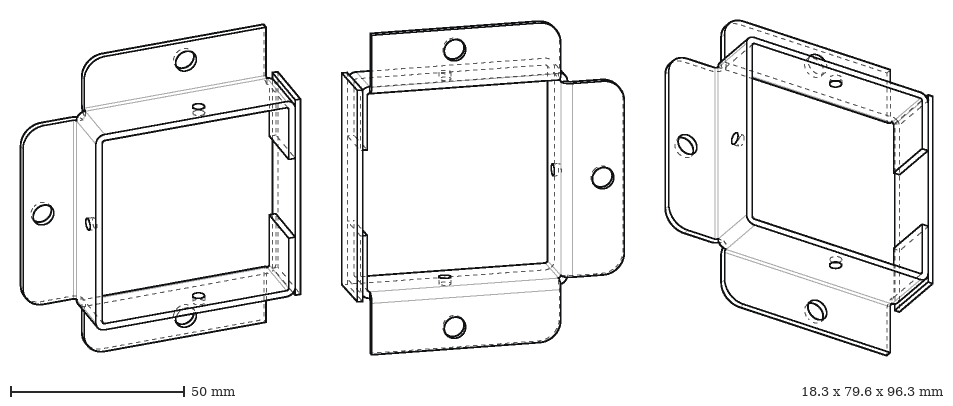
import cadquery as cq
import math

depth = 18.3
frame_height = 63.7
frame_width = 61.7
sheet = 2.0
bend_inner = 0.7
plate_thickness = 1.6
flange_reach = 16.3
flange_corner = 6.4
flange_hole_diameter = 6.4
flange_hole_inset = 6.4
wall_hole_diameter = 3.5
wall_hole_x = 11.9
hole_y = 3.4
tab_gap = 25.7

bend_outer = bend_inner + sheet
half_height = frame_height / 2
half_width = frame_width / 2
flat_height = frame_height - 2 * bend_outer
flat_width = frame_width - 2 * bend_outer


def make_ring():
    """Rectangular ring with rounded corners, split into two tabs at its back (+Y)."""
    ring_depth = depth - bend_outer
    plane = cq.Workplane("YZ", origin=(bend_outer, 0, 0))
    outer = plane.rect(frame_width, frame_height).extrude(ring_depth).edges("|X").fillet(bend_outer)
    inner = (
        plane.rect(frame_width - 2 * sheet, frame_height - 2 * sheet)
        .extrude(ring_depth)
        .edges("|X")
        .fillet(bend_inner)
    )
    gap = plane.center(half_width - sheet / 2, 0).rect(sheet, tab_gap).extrude(ring_depth)
    return outer.cut(inner).cut(gap)


def make_flange(wall_offset, length, rounded_sides, hole_position):
    """Bend and outward flange on a +Z wall whose outer face is at wall_offset, running along Y."""
    inner_face = wall_offset - sheet
    bend_end = inner_face + bend_outer
    tip = wall_offset + flange_reach
    diagonal = math.cos(math.pi / 4)
    outer_mid = (bend_outer * (1 - diagonal), bend_end - bend_outer * diagonal)
    inner_mid = (bend_outer - bend_inner * diagonal, bend_end - bend_inner * diagonal)
    flange = (
        cq.Workplane("XZ", origin=(0, length / 2, 0))
        .moveTo(bend_outer, inner_face)
        .threePointArc(outer_mid, (0, bend_end))
        .lineTo(0, tip)
        .lineTo(sheet, tip)
        .lineTo(sheet, bend_end)
        .threePointArc(inner_mid, (bend_outer, wall_offset))
        .close()
        .extrude(length)
    )
    for side in rounded_sides:
        flange = flange.faces(">Z").edges(side).fillet(flange_corner)
    hole = (
        cq.Workplane("YZ")
        .center(hole_position, tip - flange_hole_inset)
        .circle(flange_hole_diameter / 2)
        .extrude(sheet)
    )
    return flange.cut(hole)


def make_wall_holes():
    """Cutters for the small holes in the top, bottom and front (-Y) walls."""
    radius = wall_hole_diameter / 2
    vertical = (
        cq.Workplane("XY", origin=(wall_hole_x, hole_y, -half_height))
        .circle(radius)
        .extrude(frame_height)
    )
    front = (
        cq.Workplane("XZ", origin=(wall_hole_x, -half_width + sheet, 0))
        .circle(radius)
        .extrude(sheet)
    )
    return vertical, front


def make_frame():
    """Ring with flanges on its top, bottom and front walls."""
    top_flange = make_flange(half_height, flat_width, ["<Y"], hole_y)
    bottom_flange = top_flange.mirror("XY")
    front_flange = make_flange(half_width, flat_height, ["<Y", ">Y"], 0).rotate((0, 0, 0), (1, 0, 0), 90)
    frame = make_ring().union(top_flange).union(bottom_flange).union(front_flange)
    for hole in make_wall_holes():
        frame = frame.cut(hole)
    return frame


def make_back_plate():
    """Flat plate lying against the outer faces of the two back tabs."""
    return cq.Workplane("XY").box(depth, plate_thickness, frame_height).translate(
        (depth / 2, half_width + plate_thickness / 2, 0)
    )


frame = make_frame()
back_plate = make_back_plate()
result = cq.Compound.makeCompound([frame.solids().val(), back_plate.val()])